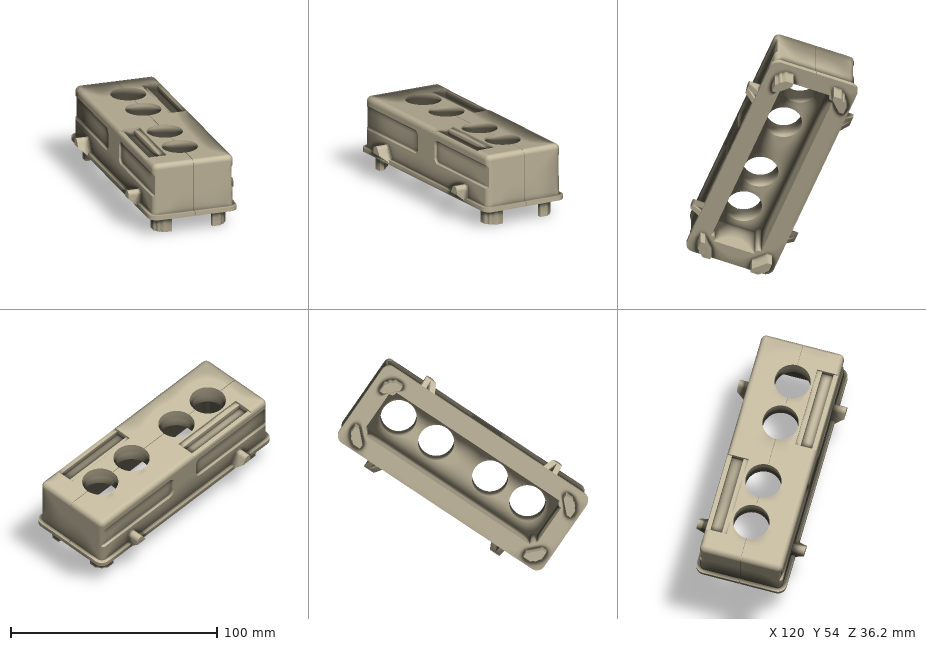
import cadquery as cq
import math


body_length = 116.4
body_width = 41.5
body_height = 28.0
body_edge_radius = 2.55
flange_length = 120.0
flange_width = 45.2
flange_thickness = 2.2
flange_corner_radius = 4.3

roof_thickness = 10.0
pillar_step = 2.5
pillar_corner_radius = 1.9

cable_hole_diameter = 17.6
cable_hole_positions = (-37.7, -15.75, 15.75, 37.7)

seam_width = 0.3
seam_depth = 0.5

recess_length = 40.2
recess_inner_x = 6.7
recess_inner_y = 9.9
shelf_depth = 1.2
trough_inner_y = 12.4
trough_outer_y = body_width / 2 - body_edge_radius
trough_depth = 4.0

panel_depth = 1.1
panel_inner_x = 8.6
panel_bottom = 12.0
panel_top = 22.1
panel_corner_radius = 2.2
panel_bevel_inner = 0.9
panel_bevel_bottom = 0.7
panel_bevel_top = 1.1

lug_span = 54.0
lug_x = 37.5
lug_radius = 2.15
lug_embed = 1.0
lug_top = 8.5
lug_tip_bottom = 4.6
lug_root_bottom = 0.8
lug_slant = math.radians(30)
lug_notch_x = 36.95
lug_notch_width = 2.2
lug_pad_margin = 0.35
lug_pad_thickness = 0.3

leg_length = 8.2
leg_size = 8.0
leg_outer_x = 55.9
leg_outer_y = 18.5
leg_chamfer = 4.0
leg_arm_width = 2.2
leg_rib_radius = 1.5
leg_rib_sink = 1.06

leg_inner_x = leg_outer_x - leg_size
leg_inner_y = leg_outer_y - leg_size


def box(x_range, y_range, z_range):
    """Axis-aligned block given by its limits."""
    size = (x_range[1] - x_range[0], y_range[1] - y_range[0], z_range[1] - z_range[0])
    return cq.Workplane("XY").box(*size, centered=False).translate((x_range[0], y_range[0], z_range[0]))


def in_four_corners(feature):
    """The feature, built at +X +Y, together with its three mirror images."""
    pair = feature.union(feature.mirror("YZ"))
    return pair.union(pair.mirror("XZ"))


def make_shell():
    """Rounded hood on its flange."""
    body = cq.Workplane("XY").box(body_length, body_width, body_height, centered=(True, True, False))
    body = body.edges("|Z").fillet(body_edge_radius)
    body = body.faces(">Z").edges().fillet(body_edge_radius)
    flange = cq.Workplane("XY").box(flange_length, flange_width, flange_thickness, centered=(True, True, False))
    return body.union(flange.edges("|Z").fillet(flange_corner_radius))


def make_cavity():
    """Hollow underside, with a rounded pillar, in line with the inner sides of the leg, left in each corner."""
    height = body_height - roof_thickness
    half_length = leg_inner_x + pillar_step
    half_width = leg_inner_y + pillar_step
    cavity = box((-half_length, half_length), (-half_width, half_width), (0, height))
    pillar = box((leg_inner_x, half_length), (leg_inner_y, half_width), (0, height))
    pillar = pillar.edges("|Z and <X and <Y").fillet(pillar_corner_radius)
    return cavity.cut(in_four_corners(pillar))


def make_cable_holes():
    centres = [(x, 0) for x in cable_hole_positions]
    return cq.Workplane("XY").pushPoints(centres).circle(cable_hole_diameter / 2).extrude(body_height)


def make_seam():
    """Shallow groove around the outside of the hood and flange at mid width."""
    half_width = (-seam_width / 2, seam_width / 2)
    body_inset = body_length / 2 - seam_depth
    flange_inset = flange_length / 2 - seam_depth
    slab = box((-flange_length / 2, flange_length / 2), half_width, (0, body_height))
    core = box((-body_inset, body_inset), half_width, (0, body_height - seam_depth))
    flange_core = box((-flange_inset, flange_inset), half_width, (0, flange_thickness - seam_depth))
    return slab.cut(core).cut(flange_core)


def make_roof_recesses():
    """Shelf running out through the top edge, with a deeper trough; repeated by a half turn."""
    x_range = (recess_inner_x, recess_inner_x + recess_length)
    shelf = box(x_range, (-body_width / 2, -recess_inner_y), (body_height - shelf_depth, body_height))
    trough = box(x_range, (-trough_outer_y, -trough_inner_y), (body_height - trough_depth, body_height))
    recess = shelf.union(trough)
    return recess.union(recess.rotate((0, 0, 0), (0, 0, 1), 180))


def panel_wire(y, inner_x, bottom, top, radius):
    """Panel outline in a plane of constant y, rounded at its inner end."""
    end_x = flange_length / 2
    diagonal = radius * (1 - math.sqrt(0.5))
    return (
        cq.Workplane("XZ", origin=(0, y, 0))
        .moveTo(end_x, bottom)
        .lineTo(inner_x + radius, bottom)
        .threePointArc((inner_x + diagonal, bottom + diagonal), (inner_x, bottom + radius))
        .lineTo(inner_x, top - radius)
        .threePointArc((inner_x + diagonal, top - diagonal), (inner_x + radius, top))
        .lineTo(end_x, top)
        .close()
        .val()
    )


def make_panels():
    """Sunken side panels with bevelled borders."""
    outer_y = body_width / 2
    floor = panel_wire(outer_y - panel_depth, panel_inner_x, panel_bottom, panel_top, panel_corner_radius)
    rim = panel_wire(
        outer_y,
        panel_inner_x - panel_bevel_inner,
        panel_bottom - panel_bevel_bottom,
        panel_top + panel_bevel_top,
        panel_corner_radius + panel_bevel_inner,
    )
    panel = cq.Workplane(cq.Solid.makeLoft([floor, rim], True))
    return in_four_corners(panel)


def lug_profile(radius, outer_y, bottom, depth):
    """Prism with a round top, an upright outer side and a slanted inner side, reaching in from outer_y."""
    centre_z = lug_top - lug_radius
    tangent_x = lug_x - radius * math.cos(lug_slant)
    tangent_z = centre_z + radius * math.sin(lug_slant)
    return (
        cq.Workplane("XZ", origin=(0, outer_y, 0))
        .moveTo(lug_x + radius, bottom)
        .lineTo(lug_x + radius, centre_z)
        .threePointArc((lug_x, centre_z + radius), (tangent_x, tangent_z))
        .lineTo(tangent_x - (tangent_z - bottom) * math.tan(lug_slant), bottom)
        .close()
        .extrude(depth)
    )


def make_lug():
    """Lug with a sloping underside and a triangular notch, on a thin raised pad."""
    wall_y = body_width / 2
    flange_y = flange_width / 2
    tip_y = lug_span / 2
    lug = lug_profile(lug_radius, tip_y, lug_root_bottom, tip_y - wall_y + lug_embed)
    underside = (
        cq.Workplane("YZ")
        .moveTo(flange_y, lug_root_bottom)
        .lineTo(tip_y, lug_tip_bottom)
        .lineTo(tip_y, lug_root_bottom)
        .close()
        .extrude(flange_length / 2)
    )
    notch = (
        cq.Workplane("XZ", origin=(0, tip_y, 0))
        .moveTo(lug_notch_x, lug_root_bottom)
        .lineTo(lug_notch_x, lug_root_bottom + lug_notch_width / math.tan(lug_slant))
        .lineTo(lug_notch_x - lug_notch_width, lug_root_bottom)
        .close()
        .extrude(tip_y - wall_y)
    )
    pad_y = wall_y + lug_pad_thickness
    pad = lug_profile(lug_radius + lug_pad_margin, pad_y, flange_thickness, lug_pad_thickness)
    return lug.cut(underside).cut(notch).union(pad)


def make_leg():
    """Square leg with two opposite corners chamfered and a round rib down the outer chamfer."""
    leg = box((leg_inner_x, leg_outer_x), (leg_inner_y, leg_outer_y), (-leg_length, 0))
    leg = leg.edges("|Z and >X and >Y").chamfer(leg_chamfer)
    leg = leg.edges("|Z and <X and <Y").chamfer(leg_size - leg_arm_width)
    inset = leg_chamfer / 2 + leg_rib_sink * math.sqrt(0.5)
    rib = cq.Workplane("XY").center(leg_outer_x - inset, leg_outer_y - inset).circle(leg_rib_radius)
    return leg.union(rib.extrude(-leg_length))


hood = make_shell().cut(make_panels()).cut(make_roof_recesses())
hood = hood.union(in_four_corners(make_lug()))
hood = hood.cut(make_cavity()).cut(make_cable_holes()).cut(make_seam())
result = hood.union(in_four_corners(make_leg()))